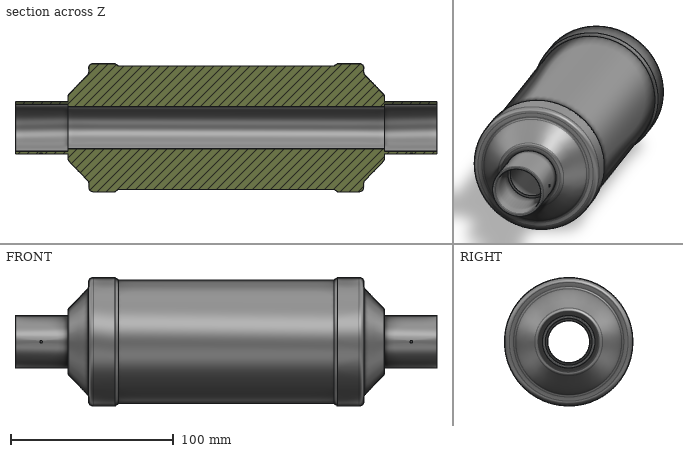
import cadquery as cq
import math

overall_length = 259.0
half_length = overall_length / 2

shell_radius = 76.0 / 2
cap_radius = 79.0 / 2
cap_face_x = 84.6
cap_edge_radius = 3.0
cap_band_length = 16.2
lip_length = 2.2
band_end_x = cap_face_x - cap_band_length
lip_end_x = band_end_x - lip_length

neck_face_x = 97.3
neck_face_radius = 18.75
cone_normal_angle = math.radians(44)
neck_edge_radius = 3.0
neck_root_radius = 2.0

pipe_radius = 32.3 / 2
socket_radius = 28.7 / 2
bore_radius = 25.7 / 2
socket_depth = half_length - neck_face_x
pipe_end_rounding = 0.5

mark_radius = 0.75
mark_depth = 0.5
mark_inset = 15.8


def arc_point(center, radius, angle):
    """(x, r) point on a profile arc; the angle runs from +X towards larger r."""
    return center[0] + radius * math.cos(angle), center[1] + radius * math.sin(angle)


def make_end():
    """Solid end cap with its neck and pipe at the +X end, revolved about the X axis."""
    edge_center = (neck_face_x - neck_edge_radius, neck_face_radius)
    edge_middle = arc_point(edge_center, neck_edge_radius, cone_normal_angle / 2)
    cone_tip = arc_point(edge_center, neck_edge_radius, cone_normal_angle)

    root_center_x = cap_face_x + neck_root_radius
    cone_root_x = root_center_x - neck_root_radius * math.cos(cone_normal_angle)
    cone_root_r = cone_tip[1] + (cone_tip[0] - cone_root_x) / math.tan(cone_normal_angle)
    root_center = (root_center_x, cone_root_r + neck_root_radius * math.sin(cone_normal_angle))
    root_middle = arc_point(root_center, neck_root_radius, math.pi + cone_normal_angle / 2)

    cap_center = (cap_face_x - cap_edge_radius, cap_radius - cap_edge_radius)
    cap_middle = arc_point(cap_center, cap_edge_radius, math.pi / 4)

    return (
        cq.Workplane("XY")
        .moveTo(lip_end_x, 0)
        .lineTo(half_length, 0)
        .lineTo(half_length, pipe_radius)
        .lineTo(neck_face_x, pipe_radius)
        .lineTo(neck_face_x, neck_face_radius)
        .threePointArc(edge_middle, cone_tip)
        .lineTo(cone_root_x, cone_root_r)
        .threePointArc(root_middle, (cap_face_x, root_center[1]))
        .lineTo(cap_face_x, cap_center[1])
        .threePointArc(cap_middle, (cap_center[0], cap_radius))
        .lineTo(band_end_x, cap_radius)
        .lineTo(lip_end_x, shell_radius)
        .close()
        .revolve(360, (0, 0, 0), (1, 0, 0))
    )


def make_bore():
    """Through bore with a wider socket at each end."""
    bore = cq.Workplane("YZ").circle(bore_radius).extrude(half_length, both=True)
    for side in (-1, 1):
        socket = (
            cq.Workplane("YZ", origin=(side * half_length, 0, 0))
            .circle(socket_radius)
            .extrude(-side * socket_depth)
        )
        bore = bore.union(socket)
    return bore


def make_stop_mark(side):
    """Small round dent in the -Y side of one pipe."""
    return (
        cq.Workplane("XZ", origin=(side * (half_length - mark_inset), -pipe_radius, 0))
        .circle(mark_radius)
        .extrude(mark_depth, both=True)
    )


end = make_end()
shell = cq.Workplane("YZ").circle(shell_radius).extrude(lip_end_x, both=True)
result = shell.union(end).union(end.mirror("YZ")).cut(make_bore())
for pipe_mouth in ("<X", ">X"):
    result = result.faces(pipe_mouth).edges().fillet(pipe_end_rounding)
for side in (-1, 1):
    result = result.cut(make_stop_mark(side))